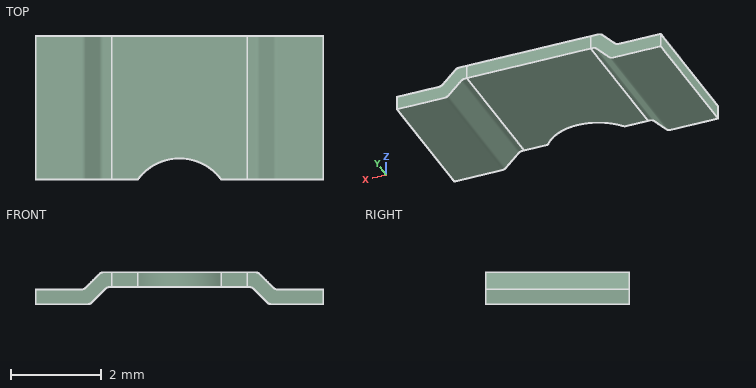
import cadquery as cq
import math

length = 6.35
width = 3.175
thickness = 0.33
rise = 0.381
bend_angle = 45.0
bend_radius = 0.127

joint_x = 1.491
foot_bend_x = 2.109

notch_depth = 0.467
notch_radius = 1.143

slope_run = rise / math.tan(math.radians(bend_angle))
bend_shift = thickness * math.tan(math.radians(bend_angle / 2))
top_bend_x = foot_bend_x - slope_run


def make_terminal(side):
    """Z-bent end strip; side is -1 for the -X end and +1 for the +X end."""
    end_x = length / 2
    profile = [
        (end_x, 0),
        (end_x, thickness),
        (foot_bend_x, thickness),
        (top_bend_x, thickness + rise),
        (joint_x, thickness + rise),
        (joint_x, rise),
        (top_bend_x - bend_shift, rise),
        (foot_bend_x - bend_shift, 0),
    ]
    bend_corners = (profile[2], profile[3], profile[6], profile[7])

    terminal = (
        cq.Workplane("XZ")
        .polyline([(side * x, z) for x, z in profile])
        .close()
        .extrude(width / 2, both=True)
    )
    bend_edges = [
        terminal.edges(cq.selectors.NearestToPointSelector((side * x, 0, z))).val()
        for x, z in bend_corners
    ]
    return terminal.newObject(bend_edges).fillet(bend_radius)


def make_middle_plate():
    """Flat raised plate between the terminals, with the notch cut through it."""
    plate = (
        cq.Workplane("XY", origin=(0, 0, rise))
        .rect(2 * joint_x, width)
        .extrude(thickness)
    )
    notch_center_y = -width / 2 + notch_depth - notch_radius
    notch = (
        cq.Workplane("XY", origin=(0, notch_center_y, rise))
        .circle(notch_radius)
        .extrude(thickness)
    )
    return plate.cut(notch)


terminals = [make_terminal(side) for side in (-1, 1)]
middle_plate = make_middle_plate()

result = cq.Compound.makeCompound(
    [middle_plate.val()] + [terminal.val() for terminal in terminals]
)